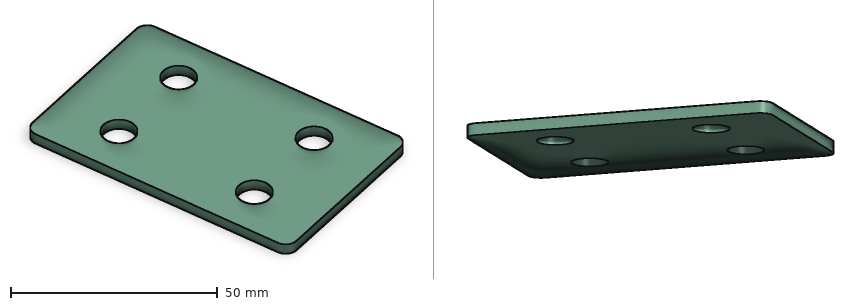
import cadquery as cq

length = 78.0
width = 50.0
thickness = 3.0
corner_radius = 3.2

hole_diameter = 9.0
hole_spacing_x = 40.0
hole_spacing_y = 25.0

plate = (
    cq.Workplane("XY")
    .box(length, width, thickness)
    .edges("|Z")
    .fillet(corner_radius)
)

result = (
    plate.faces(">Z")
    .workplane()
    .rarray(hole_spacing_x, hole_spacing_y, 2, 2)
    .hole(hole_diameter)
)